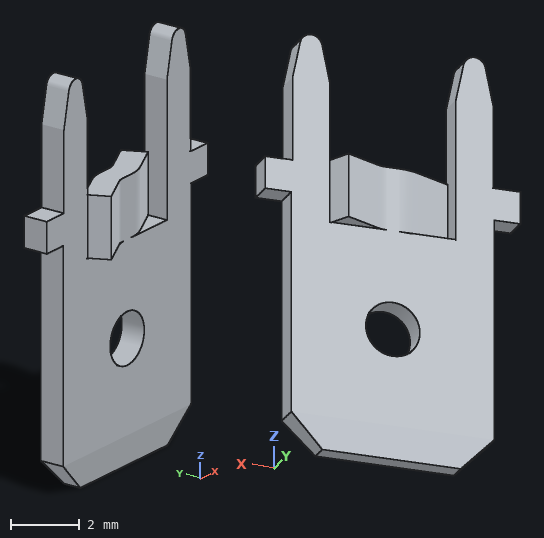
import cadquery as cq
import math

height = 12.85
thickness = 0.81
body_half_width = 3.15

lead_in_height = 1.0
lead_in_half_width = 2.15
lead_in_edge_thickness = 0.58

ear_half_span = 3.96
ear_bottom = 7.85
ear_top = 8.85
slot_half_width = 1.95
slot_bottom = 7.08

prong_outer_x = 3.11
prong_taper_start = 11.44
prong_tip_radius = 0.35

hole_radius = 0.84
hole_height = 4.01

tab_top = 9.05
tab_flat_half_length = 0.2
tab_bend_angle = math.radians(25.5)
tab_inner_radius = 0.64


def extrude_across(outline):
    """Extrude an XZ outline to the plate thickness, centred on Y."""
    return outline.extrude(thickness).translate((0, thickness / 2, 0))


def make_prong(side):
    """Upright prong whose tapered flanks run tangent into a round tip."""
    half_width = (prong_outer_x - slot_half_width) / 2
    center_x = side * (prong_outer_x + slot_half_width) / 2
    tip_center_z = height - prong_tip_radius
    taper_drop = tip_center_z - prong_taper_start
    corner_distance = math.hypot(half_width, taper_drop)
    tangent_angle = math.acos(prong_tip_radius / corner_distance) - math.atan2(taper_drop, half_width)
    tangent_x = prong_tip_radius * math.cos(tangent_angle)
    tangent_z = tip_center_z + prong_tip_radius * math.sin(tangent_angle)
    outline = (
        cq.Workplane("XZ")
        .moveTo(center_x - half_width, slot_bottom)
        .lineTo(center_x - half_width, prong_taper_start)
        .lineTo(center_x - tangent_x, tangent_z)
        .threePointArc((center_x, height), (center_x + tangent_x, tangent_z))
        .lineTo(center_x + half_width, prong_taper_start)
        .lineTo(center_x + half_width, slot_bottom)
        .close()
    )
    return extrude_across(outline)


def make_body():
    """Plate with side ears, a slot at the top and angled corners at the bottom."""
    outline = cq.Workplane("XZ").polyline([
        (-lead_in_half_width, 0),
        (lead_in_half_width, 0),
        (body_half_width, lead_in_height),
        (body_half_width, ear_bottom),
        (ear_half_span, ear_bottom),
        (ear_half_span, ear_top),
        (slot_half_width, ear_top),
        (slot_half_width, slot_bottom),
        (-slot_half_width, slot_bottom),
        (-slot_half_width, ear_top),
        (-ear_half_span, ear_top),
        (-ear_half_span, ear_bottom),
        (-body_half_width, ear_bottom),
        (-body_half_width, lead_in_height),
    ]).close()
    return extrude_across(outline)


def make_lead_in_cut(side):
    """Wedge that thins one face of the plate toward the bottom edge."""
    face_y = side * thickness / 2
    edge_y = side * lead_in_edge_thickness / 2
    return (
        cq.Workplane("YZ")
        .polyline([(face_y, lead_in_height), (edge_y, 0), (face_y, 0)])
        .close()
        .extrude(body_half_width, both=True)
    )


def make_tab():
    """S-bent strip: flat middle, +X end bent to +Y and -X end to -Y."""
    half_thickness = thickness / 2
    outer_radius = tab_inner_radius + thickness
    bend_center_y = half_thickness + tab_inner_radius

    def bend_point(radius, angle):
        return (
            tab_flat_half_length + radius * math.sin(angle),
            bend_center_y - radius * math.cos(angle),
        )

    def opposite(point):
        return (-point[0], -point[1])

    outer_start = bend_point(outer_radius, 0)
    outer_middle = bend_point(outer_radius, tab_bend_angle / 2)
    outer_end = bend_point(outer_radius, tab_bend_angle)
    inner_start = bend_point(tab_inner_radius, 0)
    inner_middle = bend_point(tab_inner_radius, tab_bend_angle / 2)
    inner_end = bend_point(tab_inner_radius, tab_bend_angle)

    straight_run = slot_half_width - outer_end[0]
    straight_rise = straight_run * math.tan(tab_bend_angle)
    outer_corner = (slot_half_width, outer_end[1] + straight_rise)
    inner_corner = (inner_end[0] + straight_run, inner_end[1] + straight_rise)

    return (
        cq.Workplane("XY", origin=(0, 0, slot_bottom))
        .moveTo(*outer_start)
        .threePointArc(outer_middle, outer_end)
        .lineTo(*outer_corner)
        .lineTo(*inner_corner)
        .lineTo(*inner_end)
        .threePointArc(inner_middle, inner_start)
        .lineTo(*opposite(outer_start))
        .threePointArc(opposite(outer_middle), opposite(outer_end))
        .lineTo(*opposite(outer_corner))
        .lineTo(*opposite(inner_corner))
        .lineTo(*opposite(inner_end))
        .threePointArc(opposite(inner_middle), opposite(inner_start))
        .close()
        .extrude(tab_top - slot_bottom)
    )


result = make_body()
for side in (-1, 1):
    result = result.union(make_prong(side))
    result = result.cut(make_lead_in_cut(side))

hole = extrude_across(cq.Workplane("XZ").center(0, hole_height).circle(hole_radius))
result = result.cut(hole).union(make_tab())